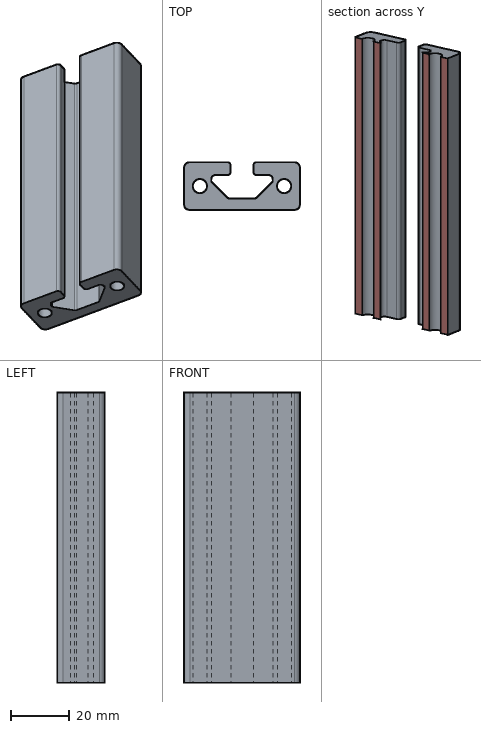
import cadquery as cq

width = 40.0
depth = 16.5
length = 100.0
corner_radius = 2.0

slot_opening = 7.8
slot_width = 21.0
lip_thickness = 4.5
slot_depth = 12.5
slot_floor_width = 9.4
slot_floor_radius = 1.0
lip_radius = 1.1
slot_corner_radius = 1.3

hole_diameter = 4.8
hole_spacing = 29.0

slot_face_y = depth / 2
lip_y = slot_face_y - lip_thickness
floor_y = slot_face_y - slot_depth
half_opening = slot_opening / 2
half_slot = slot_width / 2
half_floor = slot_floor_width / 2
taper_y = floor_y + half_slot - half_floor


def make_body():
    body = cq.Workplane("XY").rect(width, depth).extrude(length)
    return body.edges("|Z").fillet(corner_radius)


def make_slot():
    outline = [
        (half_opening, slot_face_y),
        (half_opening, lip_y),
        (half_slot, lip_y),
        (half_slot, taper_y),
        (half_floor, floor_y),
    ]
    mirrored = [(-x, y) for x, y in reversed(outline)]
    return cq.Workplane("XY").polyline(outline + mirrored).close().extrude(length)


def vertical_edges_at(solid, x, y):
    """Select the two Z edges at (x, y) and (-x, y)."""
    margin = 0.1
    selected = solid.edges(cq.selectors.BoxSelector(
        (x - margin, y - margin, 0), (x + margin, y + margin, length)))
    return selected.add(solid.edges(cq.selectors.BoxSelector(
        (-x - margin, y - margin, 0), (-x + margin, y + margin, length)))).edges("|Z")


def round_slot(solid):
    for y in (slot_face_y, lip_y):
        solid = vertical_edges_at(solid, half_opening, y).fillet(lip_radius)
    solid = vertical_edges_at(solid, half_slot, lip_y).fillet(slot_corner_radius)
    return vertical_edges_at(solid, half_floor, floor_y).fillet(slot_floor_radius)


def make_holes():
    centers = [(-hole_spacing / 2, 0), (hole_spacing / 2, 0)]
    return cq.Workplane("XY").pushPoints(centers).circle(hole_diameter / 2).extrude(length)


result = round_slot(make_body().cut(make_slot())).cut(make_holes())